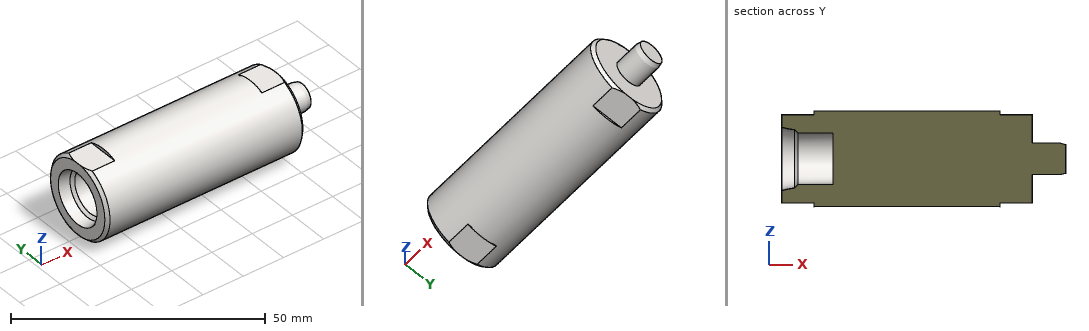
import cadquery as cq

total_length = 55.8
body_length = 49.2
body_diameter = 18.9
body_chamfer = 0.7

pin_diameter = 6.3
tip_taper_length = 1.1
tip_taper_depth = 0.3

flat_length = 6.3
across_flats = 17.35

mouth_diameter = 12.4
mouth_inner_diameter = 11.4
bore_diameter = 10.05
mouth_depth = 2.5
inner_cone_depth = (mouth_inner_diameter - bore_diameter) / 2
bore_depth = 10.05

body_start = -total_length / 2
body_end = body_start + body_length
pin_end = total_length / 2


def revolve_profile(points):
    """Turn an outline of (x, radius) points about the X axis."""
    return cq.Workplane("XY").polyline(points).close().revolve(360, (0, 0, 0), (1, 0, 0))


def make_body():
    """Chamfered cylinder with the pin on its +X end."""
    radius = body_diameter / 2
    pin_radius = pin_diameter / 2
    return revolve_profile([
        (body_start, 0),
        (body_start, radius - body_chamfer),
        (body_start + body_chamfer, radius),
        (body_end - body_chamfer, radius),
        (body_end, radius - body_chamfer),
        (body_end, pin_radius),
        (pin_end - tip_taper_length, pin_radius),
        (pin_end, pin_radius - tip_taper_depth),
        (pin_end, 0),
    ])


def make_bore():
    """Solid that is cut away to leave the tapered blind bore."""
    return revolve_profile([
        (body_start, 0),
        (body_start, mouth_diameter / 2),
        (body_start + mouth_depth, mouth_inner_diameter / 2),
        (body_start + mouth_depth + inner_cone_depth, bore_diameter / 2),
        (body_start + bore_depth, bore_diameter / 2),
        (body_start + bore_depth, 0),
    ])


def make_flat_cutter(x_center, side):
    """Block that cuts one flat; side is +1 for the top and -1 for the bottom."""
    block_height = body_diameter / 2
    z_center = side * (across_flats + block_height) / 2
    block = cq.Workplane("XY").box(flat_length, body_diameter, block_height)
    return block.translate((x_center, 0, z_center))


result = make_body().cut(make_bore())
for x_center in (body_start + flat_length / 2, body_end - flat_length / 2):
    for side in (1, -1):
        result = result.cut(make_flat_cutter(x_center, side))